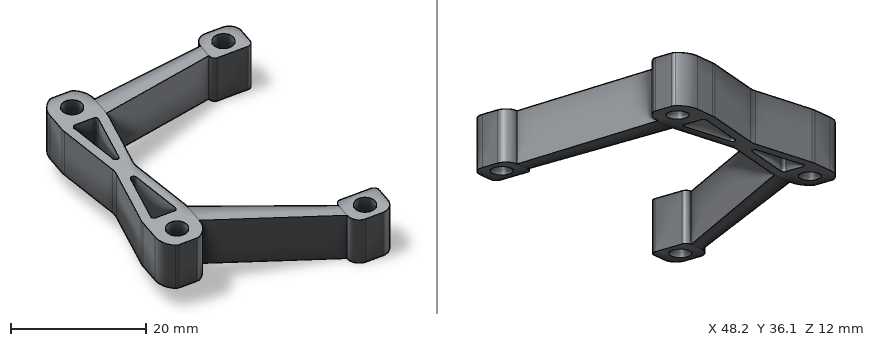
import cadquery as cq
import math

length_x = 48.2
depth_y = 36.15
height_z = 12.0

section_height = 8.5
bar_base_z = height_z - section_height
hole_diameter = 3.4

bar_width = 7.55
bar_half = bar_width / 2
bar_end_x = 19.1
bar_hole_x = 15.75
shoulder_x = 11.85
waist_half = 1.65
waist_blend_radius = 3.35
end_blend_radius = 1.0

window_back_x = 12.1
window_back_half = window_back_x * (bar_half - waist_half) / shoulder_x
window_corner_radius = 0.5

pad_width = 5.65
pad_depth = 7.0
pad_outer_radius = 2.05
pad_inner_radius = 0.9
pad_x = (length_x - pad_width) / 2
pad_back_y = depth_y - bar_half
pad_y = pad_back_y - pad_depth / 2
pad_front_y = pad_back_y - pad_depth

leg_bar_outer_x = bar_hole_x
leg_bar_inner_x = 12.1
leg_pad_outer_x = length_x / 2 - pad_outer_radius
leg_pad_inner_x = 19.45


def make_bar():
    """Waisted bar with rounded, flat-tipped ends."""
    flat_half = math.sqrt(bar_half**2 - (bar_end_x - bar_hole_x)**2)
    turn = math.atan2(flat_half, bar_end_x - bar_hole_x)
    middle = (turn + math.pi / 2) / 2
    arc_x = bar_hole_x + bar_half * math.cos(middle)
    arc_y = bar_half * math.sin(middle)
    bar = (
        cq.Workplane("XY", origin=(0, 0, bar_base_z))
        .moveTo(0, waist_half)
        .lineTo(shoulder_x, bar_half)
        .lineTo(bar_hole_x, bar_half)
        .threePointArc((arc_x, arc_y), (bar_end_x, flat_half))
        .lineTo(bar_end_x, -flat_half)
        .threePointArc((arc_x, -arc_y), (bar_hole_x, -bar_half))
        .lineTo(shoulder_x, -bar_half)
        .lineTo(0, -waist_half)
        .lineTo(-shoulder_x, -bar_half)
        .lineTo(-bar_hole_x, -bar_half)
        .threePointArc((-arc_x, -arc_y), (-bar_end_x, -flat_half))
        .lineTo(-bar_end_x, flat_half)
        .threePointArc((-arc_x, arc_y), (-bar_hole_x, bar_half))
        .lineTo(-shoulder_x, bar_half)
        .close()
        .extrude(section_height)
    )

    def blend(body, corner_xs, corner_y, radius):
        middle_z = bar_base_z + section_height / 2
        for x in corner_xs:
            for y in (-corner_y, corner_y):
                edge = cq.selectors.NearestToPointSelector((x, y, middle_z))
                body = body.edges("|Z").edges(edge).fillet(radius)
        return body

    bar = blend(bar, (-bar_end_x, bar_end_x), flat_half, end_blend_radius)
    bar = blend(bar, (-shoulder_x, shoulder_x), bar_half, waist_blend_radius)
    return blend(bar, (0,), waist_half, waist_blend_radius)


def make_window(side):
    """Cutter for one triangular window."""
    back_x = side * window_back_x
    return (
        cq.Workplane("XY", origin=(0, 0, bar_base_z))
        .polyline([(0, 0), (back_x, window_back_half), (back_x, -window_back_half)])
        .close()
        .extrude(section_height)
        .edges("|Z")
        .fillet(window_corner_radius)
    )


def make_pad(side):
    """Pad with large outer corners and small inner corners."""
    outer, inner = ("<X", ">X") if side < 0 else (">X", "<X")
    pad = (
        cq.Workplane("XY")
        .box(pad_width, pad_depth, section_height, centered=(True, True, False))
    )
    pad = pad.faces(outer).edges("|Z").fillet(pad_outer_radius)
    pad = pad.faces(inner).edges("|Z").fillet(pad_inner_radius)
    return pad.translate((side * pad_x, pad_y, 0))


def make_leg(side):
    """Tapered leg sloping down from the bar to the pad."""
    slope = (
        cq.Workplane("YZ", origin=(-length_x / 2, 0, 0))
        .polyline([
            (bar_half, bar_base_z),
            (pad_front_y, 0),
            (pad_front_y, section_height),
            (bar_half, height_z),
        ])
        .close()
        .extrude(length_x)
    )
    plan = (
        cq.Workplane("XY")
        .polyline([
            (side * leg_bar_outer_x, bar_half),
            (side * leg_pad_outer_x, pad_front_y),
            (side * leg_pad_inner_x, pad_front_y),
            (side * leg_bar_inner_x, bar_half),
        ])
        .close()
        .extrude(height_z)
    )
    return slope.intersect(plan)


body = make_bar()
for side in (-1, 1):
    body = body.cut(make_window(side))
    body = body.union(make_leg(side)).union(make_pad(side))

hole_centers = [
    (side * x, y)
    for side in (-1, 1)
    for x, y in ((bar_hole_x, 0), (pad_x, pad_y))
]
holes = (
    cq.Workplane("XY")
    .pushPoints(hole_centers)
    .circle(hole_diameter / 2)
    .extrude(height_z)
)
result = body.cut(holes)